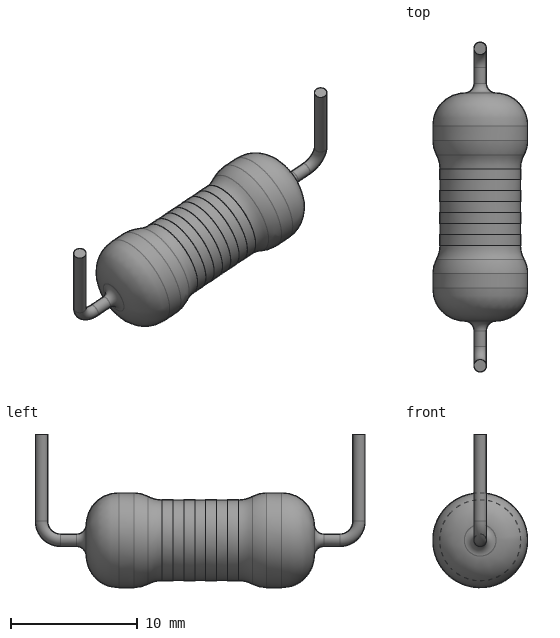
import cadquery as cq
import math

overall_length = 26.0
overall_height = 12.1
lead_radius = 1.0 / 2
bend_radius = 1.5

end_radius = 7.5 / 2
waist_radius = 6.37 / 2
band_radius = 6.4 / 2
body_half_length = 9.0
lead_fillet = 0.75
dome_length = 2.6
end_flat_length = 1.17

waist_half_length = 3.02
band_count = 4
band_pitch = 2 * (2 * waist_half_length) / (2 * band_count - 1)
band_width = band_pitch / 2

lead_y = overall_length / 2 - lead_radius
lead_top = overall_height - end_radius
straight_end = lead_y - bend_radius
dome_start = body_half_length - dome_length
shoulder_start = dome_start - end_flat_length
flare_end = body_half_length + lead_fillet
flare_radius = lead_radius + lead_fillet
dome_depth = end_radius - flare_radius
diagonal = math.sqrt(0.5)


def body_end():
    """One bulbous end, turned about Y, from the waist to the lead flare."""
    shoulder_mid = (
        (end_radius + waist_radius) / 2,
        (shoulder_start + waist_half_length) / 2,
    )
    shoulder_run = shoulder_start - waist_half_length
    shoulder_drop = end_radius - waist_radius
    shoulder_arc = (shoulder_run**2 + shoulder_drop**2) / (4 * shoulder_drop)
    dome_mid = (
        flare_radius + dome_depth * diagonal,
        dome_start + dome_length * diagonal,
    )
    flare_mid = (
        flare_radius - lead_fillet * diagonal,
        flare_end - lead_fillet * diagonal,
    )
    profile = (
        cq.Workplane("XY")
        .moveTo(0, waist_half_length)
        .lineTo(waist_radius, waist_half_length)
        .radiusArc(shoulder_mid, shoulder_arc)
        .tangentArcPoint((end_radius, shoulder_start), relative=False)
        .lineTo(end_radius, dome_start)
        .threePointArc(dome_mid, (flare_radius, body_half_length))
        .threePointArc(flare_mid, (lead_radius, flare_end))
        .lineTo(0, flare_end)
        .close()
    )
    return profile.revolve(360, (0, 0, 0), (0, 1, 0))


def lead():
    """One lead: out along Y from inside the body, round the bend and up."""
    path = (
        cq.Workplane("YZ")
        .moveTo(dome_start, 0)
        .lineTo(straight_end, 0)
        .tangentArcPoint((lead_y, bend_radius), relative=False)
        .lineTo(lead_y, lead_top)
    )
    start = cq.Workplane("XZ", origin=(0, dome_start, 0))
    return start.circle(lead_radius).sweep(path)


def band(index):
    """One colour band, counted from the -Y end of the waist."""
    near_edge = -waist_half_length + index * band_pitch
    start = cq.Workplane("XZ", origin=(0, near_edge, 0))
    return start.circle(band_radius).extrude(-band_width)


def waist():
    """The plain cylinder between the two bulbous ends."""
    start = cq.Workplane("XZ")
    return start.circle(waist_radius).extrude(waist_half_length, both=True)


end_with_lead = body_end().union(lead())
result = waist().union(end_with_lead).union(end_with_lead.mirror("XZ"))
for band_index in range(band_count):
    result = result.union(band(band_index))